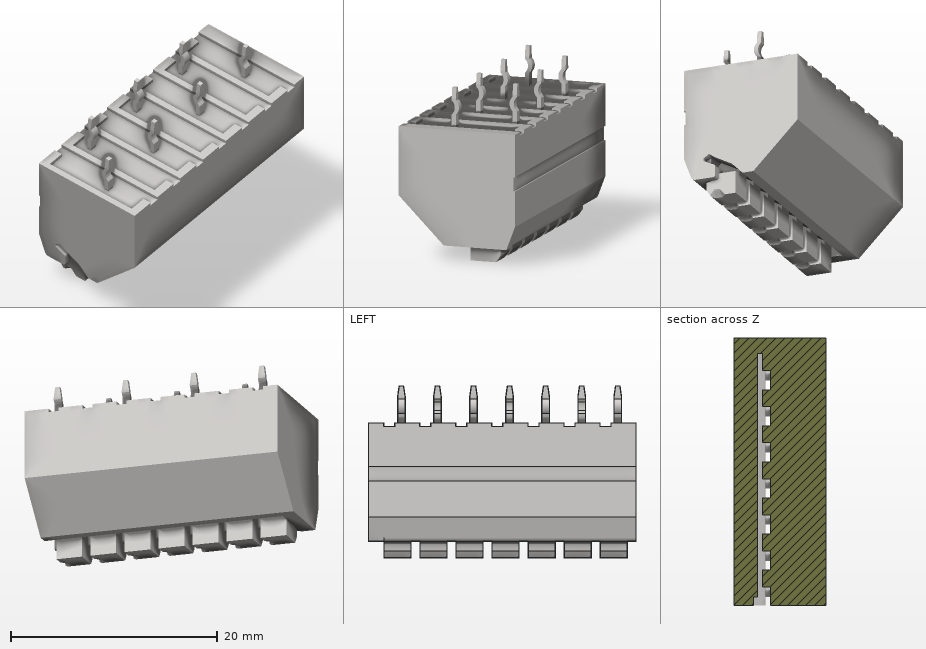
import cadquery as cq


width = 12.0
length = 26.0
height = 11.5
pole_count = 7
end_plate_length = 1.5
poles_length = length - end_plate_length
pole_pitch = poles_length / pole_count

left_bevel_run = 0.88
left_bevel_rise = 2.35
left_edge_radius = 0.5
right_bevel = 4.68
band_bottom = 5.85
band_top = 7.28
band_depth = 0.15

recess_depth = 0.35
recess_start = 0.62
recess_open_width = 1.05
recess_side_wall = 0.88

slot_left = 3.3
slot_right = 6.2
slot_lip_height = 1.25
slot_roof_low = (5.1, 1.1)
slot_roof_bend = (3.17, 2.1)
slot_peak = (2.65, 2.5)
slot_tip_x = 2.5
slot_tip_top = 2.35
slot_end_x = 2.08
slot_end_bottom = 1.85
slot_end_top = 2.1
slot_lip_tip = (2.31, 1.72)
slot_lip_radius = 0.23

foot_inset = 0.85
foot_length = pole_pitch - foot_inset
foot_bottom = -1.6
foot_top = 0.65
foot_left = 2.03
foot_right = slot_roof_low[0]
foot_bevel_run = 0.47
foot_bevel_rise = 0.68
foot_heel_drop = 0.15
foot_heel_run = 0.65
notch_left = 2.83
notch_right = 3.43
notch_height = 0.65
notch_flare = 0.55
arm_inset = 1.82
arm_end_low = (2.68, 1.53)

pin_length = 3.6
pin_thickness = 0.45
pin_width = 0.75
pin_tip_width = 0.45
pin_taper_length = 1.05
pin_root_depth = 0.78
pin_offset = 1.8
left_pin_x = 2.08
right_pin_x = 7.55
bend_bottom = 0.9
bend_top = 2.35
bend_depth = 0.3
bend_slope_height = 0.3
bend_slope_run = 0.23


def extrude_along_y(outline, start, depth):
    """Extrude an XZ outline from y = start towards +Y."""
    return outline.extrude(-depth).translate((0, start, 0))


def xz_polygon(points):
    return cq.Workplane("XZ").polyline(points).close()


def make_box(x_size, y_size, z_size, corner):
    return cq.Workplane("XY").box(x_size, y_size, z_size, centered=False).translate(corner)


def housing_section(y_start, depth):
    outline = xz_polygon([
        (left_bevel_run, 0),
        (width - right_bevel, 0),
        (width, right_bevel),
        (width, height),
        (0, height),
        (0, band_top),
        (band_depth, band_top),
        (band_depth, band_bottom),
        (0, band_bottom),
        (0, left_bevel_rise),
    ])
    return extrude_along_y(outline, y_start, depth)


def make_housing():
    poles = housing_section(0, poles_length)
    left_edge = cq.selectors.NearestToPointSelector((left_bevel_run, poles_length / 2, 0))
    poles = poles.edges(left_edge).fillet(left_edge_radius)
    end_plate = housing_section(poles_length, end_plate_length)
    return poles.union(end_plate)


def make_recess(pole_start):
    recess_end = pole_start + pole_pitch
    floor = height - recess_depth
    inner = make_box(
        width - 2 * recess_side_wall,
        pole_pitch - recess_start,
        recess_depth,
        (recess_side_wall, pole_start + recess_start, floor),
    )
    opening = make_box(
        width,
        recess_open_width,
        recess_depth,
        (0, recess_end - recess_open_width, floor),
    )
    return inner.union(opening)


def make_slot():
    outline = xz_polygon([
        (slot_left, 0),
        (slot_left, slot_lip_height),
        slot_lip_tip,
        (slot_end_x, slot_end_bottom),
        (slot_end_x, slot_end_top),
        (slot_tip_x, slot_tip_top),
        slot_peak,
        slot_roof_bend,
        slot_roof_low,
        (slot_right, 0),
    ])
    slot = extrude_along_y(outline, 0, poles_length)
    lip_corner = cq.selectors.NearestToPointSelector((slot_left, poles_length / 2, slot_lip_height))
    slot = slot.edges(lip_corner).fillet(slot_lip_radius)
    deep_tip = make_box(
        slot_tip_x - slot_end_x,
        poles_length - foot_inset,
        slot_tip_top,
        (slot_end_x, foot_inset, 0),
    )
    return slot.cut(deep_tip)


def round_slot_mouth(housing):
    mouth_edge = cq.selectors.NearestToPointSelector((slot_left, poles_length / 2, 0))
    return housing.edges(mouth_edge).fillet(slot_lip_radius)


def make_notch():
    """Trapezoid in the end face of a foot, swept obliquely down through its underside."""
    top = foot_bottom + notch_height
    outline = cq.Wire.makePolygon(
        [
            cq.Vector(notch_left - notch_flare, 0, foot_bottom),
            cq.Vector(notch_left, 0, top),
            cq.Vector(notch_right, 0, top),
            cq.Vector(notch_right + notch_flare, 0, foot_bottom),
        ],
        close=True,
    )
    sweep = cq.Vector(0, notch_height, -notch_height)
    return cq.Workplane(cq.Solid.extrudeLinear(outline, [], sweep))


def make_foot():
    lip_edge = slot_left - slot_lip_radius
    outline = xz_polygon([
        (foot_left, -foot_heel_drop),
        (foot_left, foot_bottom + foot_bevel_rise),
        (foot_left + foot_bevel_run, foot_bottom),
        (foot_right, foot_bottom),
        (foot_right, foot_top),
        (slot_left, foot_top),
        (slot_left, slot_lip_radius),
        (lip_edge, slot_lip_radius),
        (lip_edge, 0),
        (foot_left + foot_heel_run, 0),
    ])
    foot = extrude_along_y(outline, 0, foot_length)
    return foot.cut(make_notch())


def make_arm():
    outline = xz_polygon([
        (slot_left, foot_top),
        (slot_left, slot_lip_height),
        arm_end_low,
        slot_roof_bend,
        slot_roof_low,
        (foot_right, foot_top),
    ])
    return extrude_along_y(outline, 0, pole_pitch - arm_inset)


def make_pin():
    """Pin with its straight face at x = 0, bent towards +X, centred on y = 0."""
    bend_middle = (bend_bottom + bend_top) / 2
    side = (
        cq.Workplane("XZ")
        .moveTo(0, -pin_root_depth)
        .lineTo(0, bend_bottom)
        .lineTo(bend_slope_run, bend_bottom + bend_slope_height)
        .threePointArc((bend_depth, bend_middle), (bend_slope_run, bend_top - bend_slope_height))
        .lineTo(0, bend_top)
        .lineTo(0, pin_length)
        .lineTo(pin_thickness, pin_length)
        .lineTo(pin_thickness, bend_top)
        .threePointArc((pin_thickness + bend_depth, bend_middle), (pin_thickness, bend_bottom))
        .lineTo(pin_thickness, -pin_root_depth)
        .close()
        .extrude(pin_width / 2, both=True)
    )
    taper_start = pin_length - pin_taper_length
    face = (
        cq.Workplane("YZ")
        .polyline([
            (-pin_width / 2, -pin_root_depth),
            (pin_width / 2, -pin_root_depth),
            (pin_width / 2, taper_start),
            (pin_tip_width / 2, pin_length),
            (-pin_tip_width / 2, pin_length),
            (-pin_width / 2, taper_start),
        ])
        .close()
        .extrude(pin_thickness + bend_depth)
    )
    return side.intersect(face)


result = round_slot_mouth(make_housing().cut(make_slot()))

foot = make_foot()
arm = make_arm()
left_pin = make_pin()
right_pin = left_pin.mirror("YZ")

for pole in range(pole_count):
    pole_start = pole * pole_pitch
    result = result.cut(make_recess(pole_start))
    result = result.union(foot.translate((0, pole_start + foot_inset, 0)))
    result = result.union(arm.translate((0, pole_start + arm_inset, 0)))
    in_right_row = pole % 2 == 0
    pin = right_pin if in_right_row else left_pin
    pin_x = right_pin_x if in_right_row else left_pin_x
    result = result.union(pin.translate((pin_x, pole_start + pin_offset, height)))